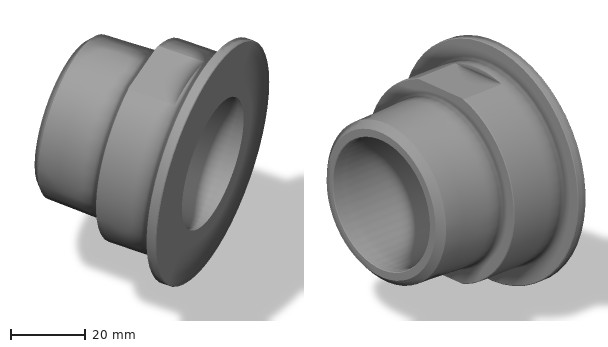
import cadquery as cq

total_length = 43.0
flange_thickness = 2.95
shoulder_x = 22.0
flat_length = 14.1
flange_x = total_length - flange_thickness

flange_radius = 70 / 2
body_radius = 58.0 / 2
bore_radius = 38.0 / 2
spigot_tip_radius = 23.45
spigot_root_radius = 24.15
flat_height = 27.5

tip_chamfer = 2.0
root_fillet = 0.85
flange_chamfer = 0.2
shoulder_chamfer = 0.2
bore_chamfer = 0.2


def turned_blank():
    """Revolve the tapered spigot, cylindrical body and flange about X."""
    profile = (
        cq.Workplane("XY")
        .moveTo(0, 0)
        .lineTo(0, spigot_tip_radius - tip_chamfer)
        .lineTo(tip_chamfer, spigot_tip_radius)
        .lineTo(shoulder_x - root_fillet, spigot_root_radius)
        .radiusArc((shoulder_x, spigot_root_radius + root_fillet), -root_fillet)
        .lineTo(shoulder_x, body_radius - shoulder_chamfer)
        .lineTo(shoulder_x + shoulder_chamfer, body_radius)
        .lineTo(flange_x - root_fillet, body_radius)
        .radiusArc((flange_x, body_radius + root_fillet), -root_fillet)
        .lineTo(flange_x, flange_radius - flange_chamfer)
        .lineTo(flange_x + flange_chamfer, flange_radius)
        .lineTo(total_length - flange_chamfer, flange_radius)
        .lineTo(total_length, flange_radius - flange_chamfer)
        .lineTo(total_length, 0)
        .close()
    )
    return profile.revolve(360, (0, 0, 0), (1, 0, 0))


def bore():
    """Through bore with a small chamfer at the spigot end."""
    profile = (
        cq.Workplane("XY")
        .moveTo(0, 0)
        .lineTo(0, bore_radius + bore_chamfer)
        .lineTo(bore_chamfer, bore_radius)
        .lineTo(total_length, bore_radius)
        .lineTo(total_length, 0)
        .close()
    )
    return profile.revolve(360, (0, 0, 0), (1, 0, 0))


def wrench_flat_cutter(side):
    """Block that clears one flat on the body; side is +1 (top) or -1 (bottom)."""
    depth = flange_radius - flat_height
    center = (shoulder_x + flat_length / 2, 0, side * (flat_height + depth / 2))
    return cq.Workplane("XY").box(flat_length, 2 * flange_radius, depth).translate(center)


result = turned_blank().cut(bore())
for side in (1, -1):
    result = result.cut(wrench_flat_cutter(side))